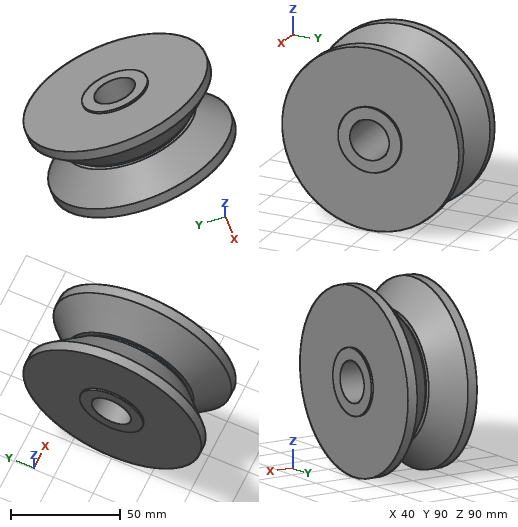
import cadquery as cq

wheel_diameter = 90.0
hub_length = 40.0
hub_diameter = 32.0
rim_width = 38.0
bore_diameter = 20.0
vee_depth = 13.0
relief_width = 2.0
relief_diameter = 60.0

wheel_radius = wheel_diameter / 2
relief_radius = relief_diameter / 2
half_rim = rim_width / 2
half_relief = relief_width / 2
vee_bottom_radius = wheel_radius - vee_depth
vee_edge = half_relief + vee_depth


def make_wheel():
    """Revolve the rim with its vee groove and narrow relief slot."""
    profile = (
        cq.Workplane("XY")
        .moveTo(-half_rim, 0)
        .lineTo(-half_rim, wheel_radius)
        .lineTo(-vee_edge, wheel_radius)
        .lineTo(-half_relief, vee_bottom_radius)
        .lineTo(-half_relief, relief_radius)
        .lineTo(half_relief, relief_radius)
        .lineTo(half_relief, vee_bottom_radius)
        .lineTo(vee_edge, wheel_radius)
        .lineTo(half_rim, wheel_radius)
        .lineTo(half_rim, 0)
        .close()
    )
    return profile.revolve(360, (0, 0, 0), (1, 0, 0))


def make_axial_cylinder(diameter):
    """Cylinder along X, centred, as long as the hub."""
    return cq.Workplane("YZ").circle(diameter / 2).extrude(hub_length / 2, both=True)


hub = make_axial_cylinder(hub_diameter)
bore = make_axial_cylinder(bore_diameter)
result = make_wheel().union(hub).cut(bore)